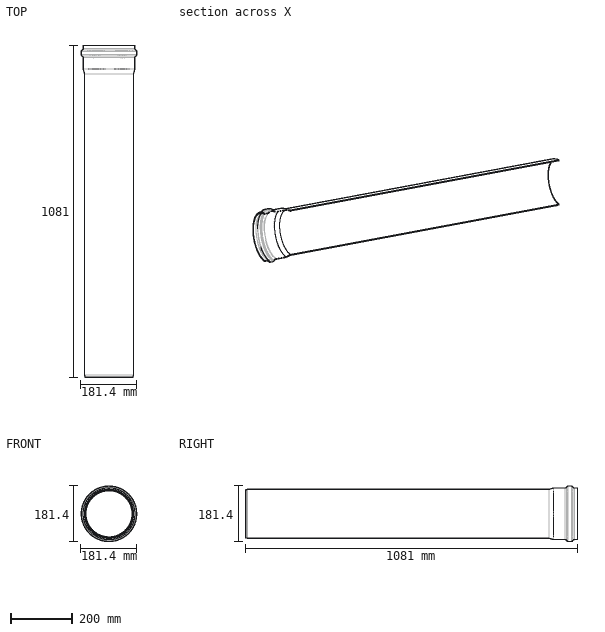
import cadquery as cq
import math

length = 1081.0

pipe_outer_d = 160.2
pipe_inner_d = 150.2

taper_angle = math.radians(15)
spigot_chamfer_length = 7.0
spigot_tip_d = pipe_outer_d - 2 * spigot_chamfer_length * math.tan(taper_angle)

socket_outer_d = 168.75
socket_inner_d = 160.75
socket_wall = (socket_outer_d - socket_inner_d) / 2

bead_outer_d = 181.4
bead_inner_d = 174.4
bead_wall = (bead_outer_d - bead_inner_d) / 2
flank_radius = 5.5
groove_crown_radius = flank_radius - bead_wall
groove_root_radius = flank_radius + socket_wall

bead_crown_start = 20.3
bead_crown_end = 30.3
socket_end = 77.6
taper_end = socket_end + (socket_outer_d - pipe_outer_d) / 2 / math.tan(taper_angle)


def flank_points(root_r, crown_r, crown_y, root_arc, crown_arc, side):
    """Five (radius, y) points along a bead flank, from the crown down to the root.

    They are the end, middle and meeting points of the two arcs. The flank leaves
    the crown toward +Y when side is +1 and toward -Y when side is -1.
    """
    arc_sum = root_arc + crown_arc
    sweep = math.acos(1 - (crown_r - root_r) / arc_sum)
    root_y = crown_y + side * arc_sum * math.sin(sweep)

    def on_crown_arc(angle):
        drop = crown_arc * (1 - math.cos(angle))
        return (crown_r - drop, crown_y + side * crown_arc * math.sin(angle))

    def on_root_arc(angle):
        rise = root_arc * (1 - math.cos(angle))
        return (root_r + rise, root_y - side * root_arc * math.sin(angle))

    return [
        on_crown_arc(0),
        on_crown_arc(sweep / 2),
        on_crown_arc(sweep),
        on_root_arc(sweep / 2),
        on_root_arc(0),
    ]


def add_flank(profile, points):
    """Draw a line to the first flank point, then the two arcs."""
    start, first_mid, meeting, second_mid, end = points
    return (
        profile.lineTo(*start)
        .threePointArc(first_mid, meeting)
        .threePointArc(second_mid, end)
    )


def make_body(socket_d, bead_d, pipe_d, root_arc, crown_arc):
    """Solid of revolution inside one wall surface, over the full length."""
    socket_r = socket_d / 2
    bead_r = bead_d / 2
    pipe_r = pipe_d / 2
    crown_start_y = length - bead_crown_start
    crown_end_y = length - bead_crown_end
    mouth_flank = flank_points(socket_r, bead_r, crown_start_y, root_arc, crown_arc, 1)
    pipe_flank = flank_points(socket_r, bead_r, crown_end_y, root_arc, crown_arc, -1)

    profile = cq.Workplane("XY").moveTo(0, length).lineTo(socket_r, length)
    profile = add_flank(profile, mouth_flank[::-1])
    profile = add_flank(profile, pipe_flank)
    profile = (
        profile.lineTo(socket_r, length - socket_end)
        .lineTo(pipe_r, length - taper_end)
        .lineTo(pipe_r, 0)
        .lineTo(0, 0)
        .close()
    )
    return profile.revolve(360, (0, 0, 0), (0, 1, 0))


def make_spigot_chamfer():
    """Ring of material to remove around the spigot end."""
    pipe_r = pipe_outer_d / 2
    return (
        cq.Workplane("XY")
        .polyline([(spigot_tip_d / 2, 0), (pipe_r, 0), (pipe_r, spigot_chamfer_length)])
        .close()
        .revolve(360, (0, 0, 0), (0, 1, 0))
    )


outer_body = make_body(socket_outer_d, bead_outer_d, pipe_outer_d, flank_radius, flank_radius)
bore = make_body(
    socket_inner_d, bead_inner_d, pipe_inner_d, groove_root_radius, groove_crown_radius
)

result = outer_body.cut(bore).cut(make_spigot_chamfer())